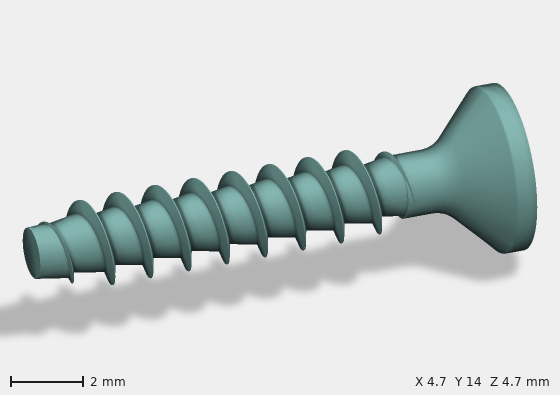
import cadquery as cq
import math

length = 14.0
head_radius = 2.35
rim_height = 0.56
rim_fillet = 0.07
neck_radius = 0.9
neck_end = 3.26
neck_fillet = 0.98

pitch = 1.12
core_radius = 0.73
tip_radius = 0.7
land_radius = 0.87
crest_radius = 1.26
crest_half_width = 0.01
front_flank = 0.18
back_flank = 0.15
thinnest = 0.2

rise_start = 2.94
rise_end = 4.2
fade_start = 12.32
land_fade_start = 12.88
fade_end = 13.83

rod_start = 1.96
rod_turns = 12
samples_per_turn = 16


def blend(depth, start, end):
    """Fraction of the way from start to end, held between 0 and 1."""
    return min(1.0, max(0.0, (depth - start) / (end - start)))


def sink(radius, depth, start):
    """Let a radius shrink from the start depth to the plain tip."""
    return radius + (tip_radius - radius) * blend(depth, start, fade_end)


def foot(depth):
    return sink(core_radius, depth, land_fade_start)


def land(depth):
    return sink(land_radius, depth, land_fade_start)


def crest(depth):
    """The crest rises from land height, runs level, then sinks away at the tip."""
    rise = blend(depth, rise_start, rise_end)
    return sink(land_radius + (crest_radius - land_radius) * rise, depth, fade_start)


def thickness(depth):
    """Thickness of the thread relative to full height; a low thread is thin."""
    height = (crest(depth) - core_radius) / (crest_radius - core_radius)
    return max(thinnest, height)


corners = [
    (-front_flank, foot),
    (-crest_half_width, crest),
    (crest_half_width, crest),
    (back_flank, land),
]


def corner_edge(turn, offset, radius_at):
    """One turn of the helix that a profile corner follows."""
    points = []
    for i in range(samples_per_turn + 1):
        angle = 2 * math.pi * i / samples_per_turn
        depth = rod_start + pitch * (turn + i / samples_per_turn)
        radius = radius_at(depth)
        y = -depth - offset * thickness(depth)
        points.append(cq.Vector(radius * math.cos(angle), y, radius * math.sin(angle)))
    return cq.Edge.makeSpline(points)


def end_faces(edge, profile):
    """Close one end of the rod with a helicoid to the axis and the step across one profile."""
    start = edge.startPoint()
    end = edge.endPoint()
    axis_start = cq.Vector(0, start.y, 0)
    axis_end = cq.Vector(0, end.y, 0)
    helicoid = cq.Face.makeRuledSurface(edge, cq.Edge.makeLine(axis_start, axis_end))
    step = cq.Face.makeFromWires(cq.Wire.makePolygon(profile + [axis_end, axis_start], close=True))
    return [helicoid, step]


def make_threaded_rod():
    edges = [
        corner_edge(turn, offset, radius_at)
        for turn in range(rod_turns)
        for offset, radius_at in corners
    ]
    edges.append(corner_edge(rod_turns, *corners[0]))
    faces = [cq.Face.makeRuledSurface(a, b) for a, b in zip(edges, edges[1:])]

    turn_size = len(corners) + 1
    first_profile = [edge.startPoint() for edge in edges[:turn_size]]
    last_profile = [edge.endPoint() for edge in edges[-turn_size:]]
    faces += end_faces(edges[0], first_profile)
    faces += end_faces(edges[-1], last_profile)
    shell = cq.Shell.makeShell(faces)
    return cq.Workplane(cq.Solid.makeSolid(shell).fix())


def make_head_and_neck():
    """Rim, 45 degree cone, fillet and straight neck."""
    cone_angle = math.radians(45)
    cone_end_radius = neck_radius + neck_fillet * (1 - math.cos(cone_angle))
    cone_end = rim_height + head_radius - cone_end_radius
    neck_start = cone_end + neck_fillet * math.sin(cone_angle)
    middle_radius = neck_radius + neck_fillet * (1 - math.cos(cone_angle / 2))
    middle_depth = neck_start - neck_fillet * math.sin(cone_angle / 2)
    profile = (
        cq.Workplane("XY")
        .lineTo(head_radius, 0)
        .lineTo(head_radius, -rim_height)
        .lineTo(cone_end_radius, -cone_end)
        .threePointArc((middle_radius, -middle_depth), (neck_radius, -neck_start))
        .lineTo(neck_radius, -neck_end)
        .lineTo(0, -neck_end)
        .close()
    )
    turned = profile.revolve(360, (0, 0, 0), (0, 1, 0))
    rim_edge = cq.selectors.BoxSelector(
        (-head_radius, -rim_height - rim_fillet, -head_radius),
        (head_radius, -rim_height + rim_fillet, 2 * head_radius),
        boundingbox=False,
    )
    return turned.edges("%CIRCLE").edges(rim_edge).fillet(rim_fillet)


envelope = cq.Workplane("XZ").circle(head_radius).extrude(length)
result = make_head_and_neck().union(make_threaded_rod().intersect(envelope))